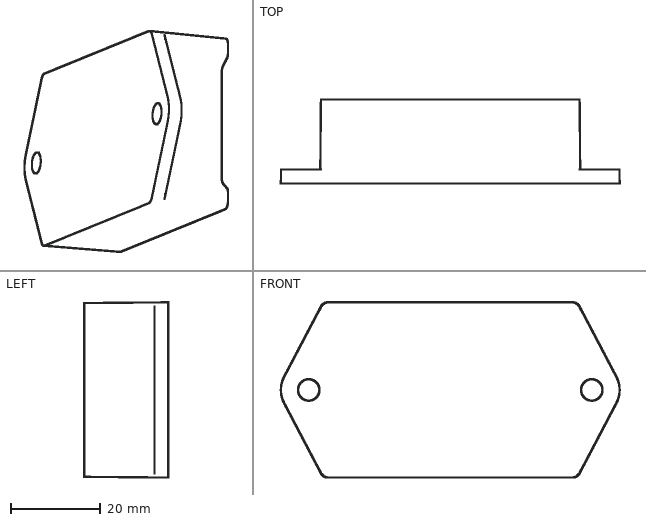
import cadquery as cq
import math

body_length = 58.42
body_width = 39.37
body_depth = 18.92
corner_radius = 1.778
draft_angle = 0.5

plate_thickness = 3.175
ear_radius = 6.28
hole_spacing = 63.5
hole_diameter = 4.76

recess_depth = 3.3
recess_mouth = 30.3
recess_wall_angle = 56.0
recess_radius = 1.55

half_length = body_length / 2
half_width = body_width / 2
half_mouth = recess_mouth / 2
half_floor = half_mouth - recess_depth / math.tan(math.radians(recess_wall_angle))
floor_x = half_length - recess_depth
hole_x = hole_spacing / 2

base_plane = cq.Plane(origin=(0, 0, 0), xDir=(1, 0, 0), normal=(0, 1, 0))


def body_outline():
    """Rectangle with a flared recess in each end, all corners rounded."""
    right_end = [
        (half_length, -half_width),
        (half_length, -half_mouth),
        (floor_x, -half_floor),
        (floor_x, half_floor),
        (half_length, half_mouth),
        (half_length, half_width),
    ]
    left_end = [(-x, -z) for x, z in right_end]
    corners = right_end + left_end
    outline = cq.Sketch().polygon(corners + corners[:1])
    for corner in corners:
        is_outer = abs(corner[1]) == half_width
        radius = corner_radius if is_outer else recess_radius
        nearest = cq.selectors.NearestToPointSelector((*corner, 0))
        outline = outline.vertices(nearest).fillet(radius).reset()
    return outline


def plate_outline():
    """Tight hull around the four rounded body corners and the two ear ends."""
    corner_centres = [
        (x_side * (half_length - corner_radius), z_side * (half_width - corner_radius))
        for x_side in (-1, 1)
        for z_side in (-1, 1)
    ]
    outline = cq.Sketch()
    for centre in corner_centres:
        outline = outline.arc(centre, corner_radius, 0, 360)
    for ear_x in (-hole_x, hole_x):
        outline = outline.arc((ear_x, 0), ear_radius, 0, 360)
    return outline.hull()


def drafted_prism(outline, depth):
    return cq.Workplane(base_plane).placeSketch(outline).extrude(depth, taper=draft_angle)


def mounting_holes():
    """Through-hole cutters, one in each ear."""
    centres = [(-hole_x, 0), (hole_x, 0)]
    return cq.Workplane(base_plane).pushPoints(centres).circle(hole_diameter / 2).extrude(plate_thickness)


body = drafted_prism(body_outline(), body_depth)
plate = drafted_prism(plate_outline(), plate_thickness)
result = body.union(plate).cut(mounting_holes())